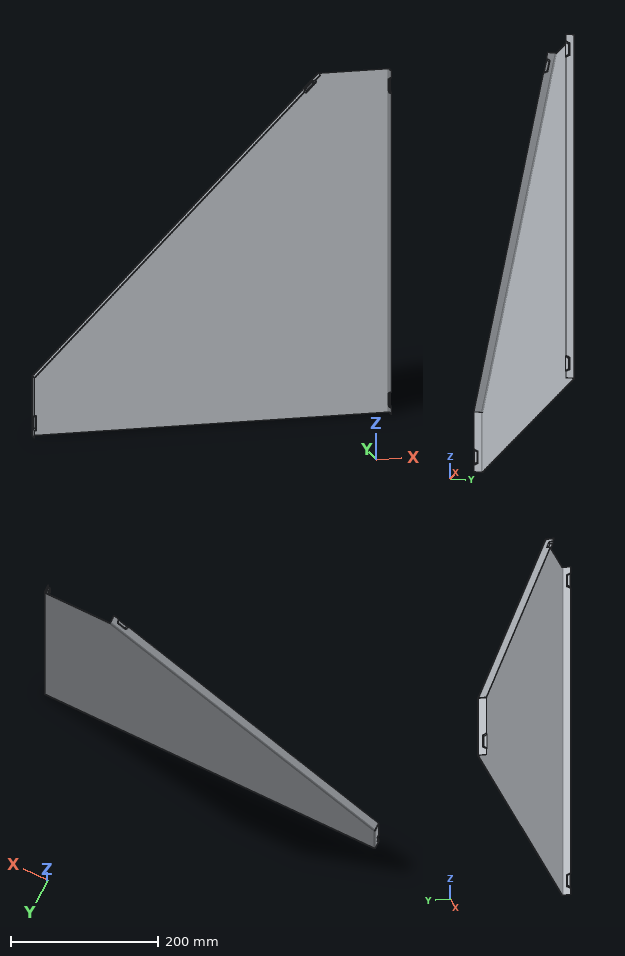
import cadquery as cq
import math

width = 500.0
peak_height = 484.5
depth = 12.5
sheet = 1.0
bend_radius = 1.5
slope_run = 400.0
peak_rise = 1.0

lug_offset = 8.5
lug_length = 24.0
lug_height = 6.0
lug_push = 3.5
lug_taper = 3.0
lug_side_angle = 25.0

top_height = peak_height - peak_rise
left_height = peak_height - slope_run
overrun = 5.0
cut_span = 3 * width
diagonal = math.sqrt(0.5)


def front_sketch(points):
    """Closed outline on the XZ plane at the flanges' free edges (Y = 0)."""
    return cq.Workplane("XZ").polyline(points).close()


def folded_panel():
    """Plate with left, sloped and right flanges; open at the top and bottom."""
    outline = [
        (0, 0),
        (width, 0),
        (width, top_height),
        (slope_run + peak_rise, top_height),
        (slope_run, peak_height),
        (0, left_height),
    ]
    block = front_sketch(outline).extrude(-depth)
    bends = cq.selectors.BoxSelector(
        (-overrun, depth - sheet, left_height / 2 - overrun),
        (slope_run / 2 + overrun, depth + sheet, peak_height / 2 + left_height / 2 + overrun),
    )
    right_bend = cq.selectors.BoxSelector(
        (width - sheet, depth - sheet, 0),
        (width + sheet, depth + sheet, top_height),
    )
    block = block.edges(bends + right_bend).fillet(bend_radius)

    slope_intercept = left_height - sheet / diagonal
    cavity_top = peak_height + overrun
    cavity = front_sketch([
        (sheet, -overrun),
        (width - sheet, -overrun),
        (width - sheet, cavity_top),
        (cavity_top - slope_intercept, cavity_top),
        (sheet, slope_intercept + sheet),
    ]).extrude(-(depth - sheet))
    cavity = cavity.faces(">Y").edges("not(<Z or >Z)").fillet(bend_radius - sheet)
    return block.cut(cavity)


def lug_body(plane, inset, push):
    """Block with sloping sides growing inward from a flange's outer face at its free edge."""
    half = lug_length / 2 - inset
    reach = lug_height - inset
    tip = half - lug_taper
    whole = (
        cq.Workplane(plane)
        .polyline([(-half, 0), (-tip, -reach), (tip, -reach), (half, 0), (tip, reach), (-tip, reach)])
        .close()
        .extrude(push, taper=lug_side_angle)
    )
    beyond_edge = cq.Workplane("XY").box(
        cut_span, lug_length, cut_span, centered=(True, False, True)
    ).translate((0, -lug_length, 0))
    return whole.cut(beyond_edge)


def add_lug(panel, x, z, inward_x, inward_z):
    """Press a hollow lug inward, centred at (x, z) on a flange's outer face."""
    plane = cq.Plane(
        origin=(x, 0, z),
        xDir=(inward_z, 0, -inward_x),
        normal=(inward_x, 0, inward_z),
    )
    boss = lug_body(plane, 0, lug_push)
    pocket = lug_body(plane, sheet, lug_push - sheet)
    return panel.union(boss).cut(pocket)


lug_centre = lug_offset + lug_length / 2
slope_step = lug_centre * diagonal

result = folded_panel()
result = add_lug(result, 0, lug_centre, 1, 0)
result = add_lug(result, width, lug_centre, -1, 0)
result = add_lug(result, width, top_height - lug_centre, -1, 0)
result = add_lug(result, slope_run - slope_step, peak_height - slope_step, diagonal, -diagonal)